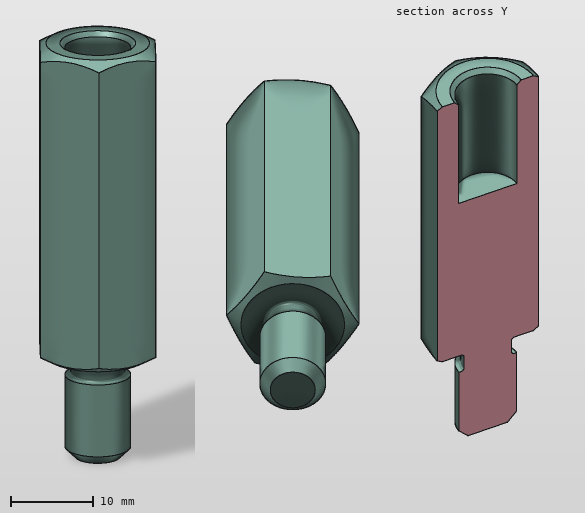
import cadquery as cq
import math

total_length = 53.0
across_flats = 14.0
across_corners = across_flats / math.cos(math.radians(30))
stud_length = 13.0
body_length = total_length - stud_length
end_face_diameter = 12.55
corner_chamfer_angle = 30.0

thread_diameter = 8.0
hole_depth = 16.0
countersink_diameter = 9.15

neck_diameter = 6.55
neck_length = 2.5
neck_fillet_radius = 0.4
tip_chamfer = 1.25


def make_body():
    """Hexagonal prism, corners along Y, with conical chamfers at both ends."""
    prism = (
        cq.Workplane("XY")
        .workplane(offset=stud_length)
        .polygon(6, across_corners)
        .extrude(body_length)
        .rotate((0, 0, 0), (0, 0, 1), 30)
    )
    end_radius = end_face_diameter / 2
    corner_radius = across_corners / 2
    chamfer_height = (corner_radius - end_radius) * math.tan(math.radians(corner_chamfer_angle))
    envelope = (
        cq.Workplane("XZ")
        .moveTo(0, stud_length)
        .lineTo(end_radius, stud_length)
        .lineTo(corner_radius, stud_length + chamfer_height)
        .lineTo(corner_radius, total_length - chamfer_height)
        .lineTo(end_radius, total_length)
        .lineTo(0, total_length)
        .close()
        .revolve(360, (0, 0, 0), (0, 1, 0))
    )
    return prism.intersect(envelope)


def make_stud():
    """Round stud with a chamfered tip and a filleted relief neck below the body."""
    thread_radius = thread_diameter / 2
    neck_radius = neck_diameter / 2
    fillet_edge_radius = neck_radius + neck_fillet_radius
    shoulder_z = stud_length - neck_length
    fillet_sag = neck_fillet_radius * (1 - math.sqrt(0.5))
    return (
        cq.Workplane("XZ")
        .lineTo(thread_radius - tip_chamfer, 0)
        .lineTo(thread_radius, tip_chamfer)
        .lineTo(thread_radius, shoulder_z)
        .lineTo(fillet_edge_radius, shoulder_z)
        .threePointArc(
            (neck_radius + fillet_sag, shoulder_z + fillet_sag),
            (neck_radius, shoulder_z + neck_fillet_radius),
        )
        .lineTo(neck_radius, stud_length - neck_fillet_radius)
        .threePointArc(
            (neck_radius + fillet_sag, stud_length - fillet_sag),
            (fillet_edge_radius, stud_length),
        )
        .lineTo(0, stud_length)
        .close()
        .revolve(360, (0, 0, 0), (0, 1, 0))
    )


def make_hole():
    """Blind flat-bottomed hole with a 45 degree countersink."""
    hole_radius = thread_diameter / 2
    countersink_radius = countersink_diameter / 2
    countersink_depth = countersink_radius - hole_radius
    return (
        cq.Workplane("XZ")
        .moveTo(0, total_length - hole_depth)
        .lineTo(hole_radius, total_length - hole_depth)
        .lineTo(hole_radius, total_length - countersink_depth)
        .lineTo(countersink_radius, total_length)
        .lineTo(0, total_length)
        .close()
        .revolve(360, (0, 0, 0), (0, 1, 0))
    )


result = make_body().union(make_stud()).cut(make_hole())